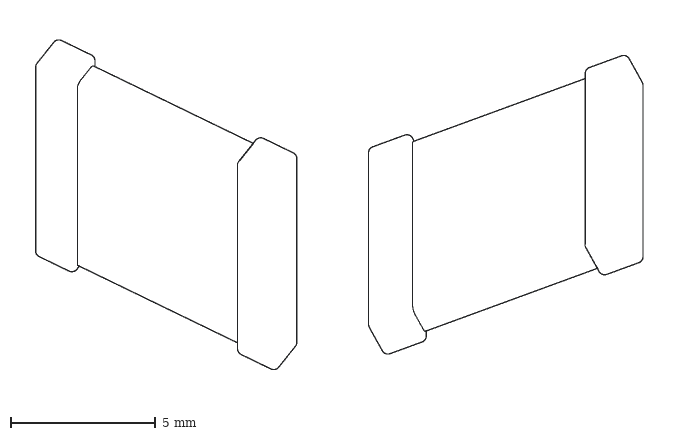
import cadquery as cq

overall_length = 9.9
overall_depth = 1.55
overall_height = 10.6

terminal_length = 1.66

edge_radius = 0.22

body_step = edge_radius
body_length = overall_length - 2 * terminal_length
body_depth = overall_depth - 2 * body_step
body_height = overall_height - 2 * body_step


def make_body():
    """Flat central block with its four long edges rounded, butting against both terminals."""
    block = cq.Workplane("XY").box(body_length, body_depth, body_height)
    return block.edges("|X").fillet(edge_radius)


def make_terminal(center_x):
    """Upright bar with every edge rounded, centred at the given X."""
    bar = cq.Workplane("XY").box(terminal_length, overall_depth, overall_height)
    return bar.edges().fillet(edge_radius).translate((center_x, 0, 0))


body = make_body()

terminal_offset = (overall_length - terminal_length) / 2
terminals = []
for side in (-1, 1):
    terminals.append(make_terminal(side * terminal_offset).val())

result = cq.Compound.makeCompound([body.val(), *terminals])